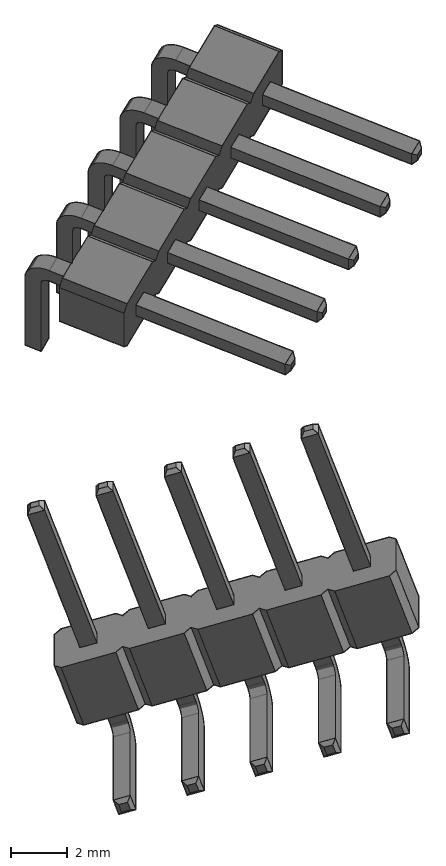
import cadquery as cq

pin_count = 5
pitch = 2.54
housing_chamfer = 0.25
pin_width = 0.64
tip_chamfer = 0.15
inner_bend_radius = pin_width / 2
total_length = 10.36
total_height = 6.18
housing_offset = 1.82

outer_bend_radius = inner_bend_radius + pin_width
row_length = pin_count * pitch
leg_outer_x = -housing_offset
leg_inner_x = leg_outer_x + pin_width
straight_tip_x = leg_outer_x + total_length
leg_tip_z = pitch / 2 - total_height
pin_top_z = pin_width / 2
pin_bottom_z = -pin_width / 2


def housing_cell(center_y):
    """One square housing cell, chamfered along its four X edges."""
    return (
        cq.Workplane("XY")
        .box(pitch, pitch, pitch, centered=(False, True, True))
        .edges("|X")
        .chamfer(housing_chamfer)
        .translate((0, center_y, 0))
    )


def bent_pin(center_y):
    """One square pin with a right-angle bend and tapered tips."""
    bend_x = leg_outer_x + outer_bend_radius
    bend_z = pin_top_z - outer_bend_radius
    pin = (
        cq.Workplane("XZ")
        .moveTo(leg_outer_x, leg_tip_z)
        .lineTo(leg_outer_x, bend_z)
        .radiusArc((bend_x, pin_top_z), outer_bend_radius)
        .lineTo(straight_tip_x, pin_top_z)
        .lineTo(straight_tip_x, pin_bottom_z)
        .lineTo(bend_x, pin_bottom_z)
        .radiusArc((leg_inner_x, bend_z), -inner_bend_radius)
        .lineTo(leg_inner_x, leg_tip_z)
        .close()
        .extrude(pin_width / 2, both=True)
    )
    pin = pin.faces(">X").chamfer(tip_chamfer)
    pin = pin.faces("<Z").chamfer(tip_chamfer)
    return pin.translate((0, center_y, 0))


result = cq.Workplane("XY")
for index in range(pin_count):
    pin_y = (index + 0.5) * pitch - row_length / 2
    result = result.union(housing_cell(pin_y)).union(bent_pin(pin_y))
result = result.clean()